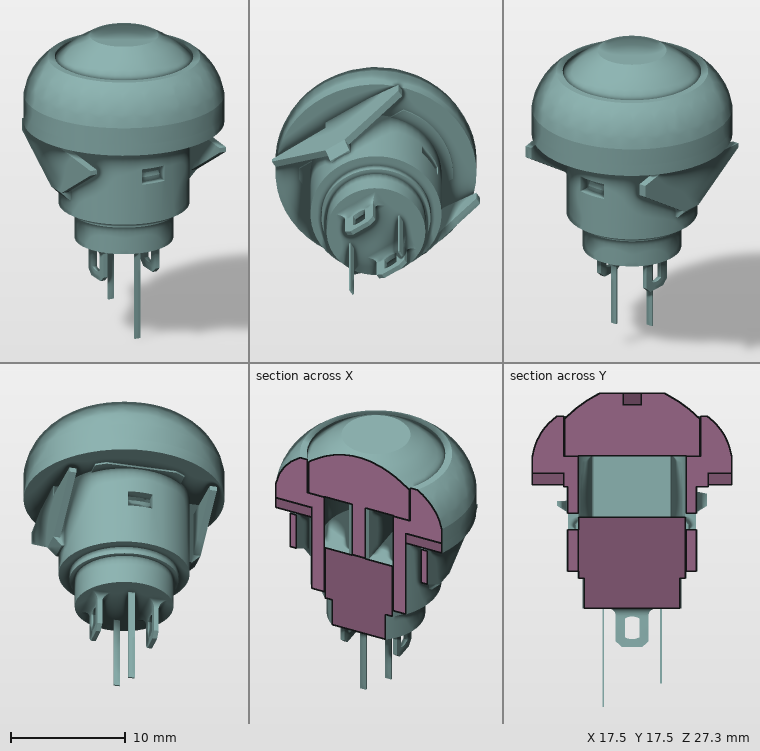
import cadquery as cq


BEZEL_RADIUS = 17.5 / 2
BEZEL_CREASE_Z = 2.55
BEZEL_MID_RADIUS = 8.05
BEZEL_MID_Z = 4.45
RIM_RADIUS = 6.64
RIM_Z = 6.0
CAVITY_RADIUS = 6.04
CAVITY_FLOOR_Z = BEZEL_CREASE_Z
TUBE_RADIUS = 5.7
TUBE_BOTTOM_Z = -7.5
BORE_RADIUS = 4.78
SHOULDER_RADIUS = 6.72
SHOULDER_DEPTH = 0.16
SHOULDER_HALF_WIDTH = 4.01
SHOULDER_FLAT_X = 5.95

GASKET_THICKNESS = 1.0

WINDOW_TOP_Z = -2.45
WINDOW_BOTTOM_Z = -3.88
NEAR_WINDOW_WIDTH = 2.6
FAR_WINDOW_WIDTH = 2.2

CLIP_OUTER_Y = 6.64
CLIP_PLATE_THICKNESS = 0.63
CLIP_HALF_SPAN = 6.53
CLIP_RIB_HALF_WIDTH = 0.98
CLIP_SLOPE_START_X = -3.45
CLIP_LEFT_TOP_Z = -0.75
CLIP_NOTCH_Z = -1.15
CLIP_RIGHT_TOP_Z = -1.4
CLIP_WING_BOTTOM_Z = -1.8
CLIP_PLATE_BOTTOM_Z = -5.25
CLIP_RIB_BOTTOM_Z = -6.0

BUTTON_RADIUS = 5.98
BUTTON_EDGE_Z = 5.8
BUTTON_MID_RADIUS = 4.53
BUTTON_MID_Z = 7.05
BUTTON_TOP_RADIUS = 3.0
BUTTON_TOP_Z = 8.0
STEM_RADIUS = 7.0 / 2
STEM_WIDTH = 1.9
LENS_RADIUS = 2.5 / 2
LENS_DEPTH = 1.0

PLUG_RADIUS = 9.5 / 2
PLUG_TOP_Z = -2.79
PLUG_BOTTOM_Z = -8.15
SOCKET_RADIUS = 8.6 / 2
BASE_BOTTOM_Z = -10.75
SNAP_RADIUS = 10.0 / 2
SNAP_WIDTH = 1.9
SNAP_TOP_Z = -3.15
SNAP_RAMP_END_Z = -3.47

LUG_OFFSET_Y = 2.55
LUG_WIDTH = 2.87
LUG_THICKNESS = 0.4
LUG_LENGTH = 3.33
LUG_CORNER_X = 0.55
LUG_CORNER_Z = 0.5
LUG_FLARE_RADIUS = 0.6
LUG_EYE_DEPTH = 1.67
LUG_EYE_HALF_WIDTH = 0.63
LUG_EYE_HALF_SIDE = 0.82
LUG_EYE_HALF_HEIGHT = 0.98

PIN_OFFSET_X = 2.5
PIN_THICKNESS = 0.16
PIN_WIDTH = 0.57
OVERALL_HEIGHT = 27.3
LONG_PIN_BOTTOM_Z = BUTTON_TOP_Z - OVERALL_HEIGHT
SHORT_PIN_BOTTOM_Z = -17.3


def cylinder(radius, bottom_z, top_z):
    return cq.Workplane("XY").workplane(offset=bottom_z).circle(radius).extrude(top_z - bottom_z)


def box(x_range, y_range, z_range):
    """Box between the low and high limits on each axis."""
    lows, highs = zip(x_range, y_range, z_range)
    sizes = [high - low for low, high in zip(lows, highs)]
    return cq.Workplane("XY").box(*sizes, centered=False).translate(lows)


def make_bezel():
    profile = (
        cq.Workplane("XZ")
        .moveTo(0, GASKET_THICKNESS)
        .lineTo(BEZEL_RADIUS, GASKET_THICKNESS)
        .lineTo(BEZEL_RADIUS, BEZEL_CREASE_Z)
        .threePointArc((BEZEL_MID_RADIUS, BEZEL_MID_Z), (RIM_RADIUS, RIM_Z))
        .lineTo(0, RIM_Z)
        .close()
    )
    return profile.revolve(360, (0, 0, 0), (0, 1, 0))


def make_shoulder():
    """Round panel shoulder with a keying flat on +X and its sides cut back for the clips."""
    disc = cylinder(SHOULDER_RADIUS, -SHOULDER_DEPTH, GASKET_THICKNESS)
    limits = box(
        (-SHOULDER_RADIUS, SHOULDER_FLAT_X),
        (-SHOULDER_HALF_WIDTH, SHOULDER_HALF_WIDTH),
        (-SHOULDER_DEPTH, GASKET_THICKNESS),
    )
    return disc.intersect(limits)


def make_clip():
    """Winged plate on a rib at -Y; the rib's outer bottom edge is cut off at a slope."""
    clip_top_z = -SHOULDER_DEPTH
    plate_inner_y = CLIP_OUTER_Y - CLIP_PLATE_THICKNESS
    rib_tip_y = CLIP_OUTER_Y - (CLIP_PLATE_BOTTOM_Z - CLIP_RIB_BOTTOM_Z)
    plate = (
        cq.Workplane("XZ", origin=(0, -plate_inner_y, 0))
        .polyline([
            (CLIP_SLOPE_START_X, clip_top_z),
            (CLIP_RIB_HALF_WIDTH, clip_top_z),
            (CLIP_RIB_HALF_WIDTH, CLIP_NOTCH_Z),
            (CLIP_HALF_SPAN, CLIP_RIGHT_TOP_Z),
            (CLIP_HALF_SPAN, CLIP_WING_BOTTOM_Z),
            (CLIP_RIB_HALF_WIDTH, CLIP_PLATE_BOTTOM_Z),
            (-CLIP_RIB_HALF_WIDTH, CLIP_PLATE_BOTTOM_Z),
            (-CLIP_HALF_SPAN, CLIP_WING_BOTTOM_Z),
            (-CLIP_HALF_SPAN, CLIP_LEFT_TOP_Z),
        ])
        .close()
        .extrude(CLIP_PLATE_THICKNESS)
    )
    rib = (
        cq.Workplane("YZ", origin=(-CLIP_RIB_HALF_WIDTH, 0, 0))
        .polyline([
            (-BORE_RADIUS, clip_top_z),
            (-CLIP_OUTER_Y, clip_top_z),
            (-CLIP_OUTER_Y, CLIP_PLATE_BOTTOM_Z),
            (-rib_tip_y, CLIP_RIB_BOTTOM_Z),
            (-BORE_RADIUS, CLIP_RIB_BOTTOM_Z),
        ])
        .close()
        .extrude(2 * CLIP_RIB_HALF_WIDTH)
    )
    return plate.union(rib)


def make_windows():
    """Cutters for the two openings; the one on -X is the wider."""
    heights = (WINDOW_BOTTOM_Z, WINDOW_TOP_Z)
    near = box((-TUBE_RADIUS, 0), (-NEAR_WINDOW_WIDTH / 2, NEAR_WINDOW_WIDTH / 2), heights)
    far = box((0, TUBE_RADIUS), (-FAR_WINDOW_WIDTH / 2, FAR_WINDOW_WIDTH / 2), heights)
    return near.union(far)


def make_housing():
    clip = make_clip()
    outside = (
        make_bezel()
        .union(make_shoulder())
        .union(cylinder(TUBE_RADIUS, TUBE_BOTTOM_Z, GASKET_THICKNESS))
        .union(clip)
        .union(clip.mirror("XZ"))
    )
    return (
        outside
        .cut(cylinder(CAVITY_RADIUS, CAVITY_FLOOR_Z, RIM_Z))
        .cut(cylinder(BORE_RADIUS, TUBE_BOTTOM_Z, CAVITY_FLOOR_Z))
        .cut(make_windows())
    )


def make_gasket(housing):
    """Ring that closely surrounds the housing below the bezel."""
    disc = cylinder(BEZEL_RADIUS, 0, GASKET_THICKNESS)
    return disc.cut(cylinder(TUBE_RADIUS, 0, GASKET_THICKNESS)).cut(housing)


def make_lens():
    return cylinder(LENS_RADIUS, BUTTON_TOP_Z - LENS_DEPTH, BUTTON_TOP_Z)


def make_stem():
    """Bar across X with round ends, from the cap down to the top of the base."""
    disc = cylinder(STEM_RADIUS, PLUG_TOP_Z, CAVITY_FLOOR_Z)
    limits = box(
        (-STEM_RADIUS, STEM_RADIUS),
        (-STEM_WIDTH / 2, STEM_WIDTH / 2),
        (PLUG_TOP_Z, CAVITY_FLOOR_Z),
    )
    return disc.intersect(limits)


def make_button(lens):
    """Domed cap resting on the cavity floor, with a stem below it and a recess for the lens."""
    cap = (
        cq.Workplane("XZ")
        .moveTo(0, CAVITY_FLOOR_Z)
        .lineTo(BUTTON_RADIUS, CAVITY_FLOOR_Z)
        .lineTo(BUTTON_RADIUS, BUTTON_EDGE_Z)
        .threePointArc((BUTTON_MID_RADIUS, BUTTON_MID_Z), (BUTTON_TOP_RADIUS, BUTTON_TOP_Z))
        .lineTo(0, BUTTON_TOP_Z)
        .close()
        .revolve(360, (0, 0, 0), (0, 1, 0))
    )
    return cap.union(make_stem()).cut(lens)


def make_snaps():
    """Ramped catches on -X and +X that fill the lower part of the windows."""
    ring = (
        cq.Workplane("XZ")
        .moveTo(0, WINDOW_BOTTOM_Z)
        .lineTo(SNAP_RADIUS, WINDOW_BOTTOM_Z)
        .lineTo(SNAP_RADIUS, SNAP_RAMP_END_Z)
        .lineTo(PLUG_RADIUS, SNAP_TOP_Z)
        .lineTo(0, SNAP_TOP_Z)
        .close()
        .revolve(360, (0, 0, 0), (0, 1, 0))
    )
    strip = box(
        (-SNAP_RADIUS, SNAP_RADIUS),
        (-SNAP_WIDTH / 2, SNAP_WIDTH / 2),
        (WINDOW_BOTTOM_Z, SNAP_TOP_Z),
    )
    return ring.intersect(strip)


def make_base():
    return (
        cylinder(PLUG_RADIUS, PLUG_BOTTOM_Z, PLUG_TOP_Z)
        .union(cylinder(SOCKET_RADIUS, BASE_BOTTOM_Z, PLUG_BOTTOM_Z))
        .union(make_snaps())
    )


def make_lug(y):
    """Flat lug with cut corners, an eye, and a concave flare where it meets the base."""
    half_width = LUG_WIDTH / 2
    half_thickness = LUG_THICKNESS / 2
    tip_half_width = half_width - LUG_CORNER_X
    bend = LUG_FLARE_RADIUS * (1 - 0.5 ** 0.5)

    def flared(plane, half_root, depth):
        """Prism, symmetric about the plane, whose sides flare out at the top by quarter arcs."""
        top = half_root + LUG_FLARE_RADIUS
        return (
            cq.Workplane(plane)
            .moveTo(-top, 0)
            .threePointArc((-half_root - bend, -bend), (-half_root, -LUG_FLARE_RADIUS))
            .lineTo(-half_root, -LUG_LENGTH)
            .lineTo(half_root, -LUG_LENGTH)
            .lineTo(half_root, -LUG_FLARE_RADIUS)
            .threePointArc((half_root + bend, -bend), (top, 0))
            .close()
            .extrude(depth, both=True)
        )

    lug = flared("XZ", half_width, LUG_WIDTH).intersect(flared("YZ", half_thickness, LUG_WIDTH))
    for side in (-1, 1):
        corner = (
            cq.Workplane("XZ")
            .polyline([
                (side * half_width, -LUG_LENGTH),
                (side * half_width, -LUG_LENGTH + LUG_CORNER_Z),
                (side * tip_half_width, -LUG_LENGTH),
            ])
            .close()
            .extrude(LUG_THICKNESS, both=True)
        )
        lug = lug.cut(corner)
    eye = (
        cq.Workplane("XZ", origin=(0, 0, -LUG_EYE_DEPTH))
        .moveTo(-LUG_EYE_HALF_WIDTH, -LUG_EYE_HALF_SIDE)
        .threePointArc((0, -LUG_EYE_HALF_HEIGHT), (LUG_EYE_HALF_WIDTH, -LUG_EYE_HALF_SIDE))
        .lineTo(LUG_EYE_HALF_WIDTH, LUG_EYE_HALF_SIDE)
        .threePointArc((0, LUG_EYE_HALF_HEIGHT), (-LUG_EYE_HALF_WIDTH, LUG_EYE_HALF_SIDE))
        .close()
        .extrude(LUG_THICKNESS, both=True)
    )
    return lug.cut(eye).translate((0, y, BASE_BOTTOM_Z))


def make_pin(x, bottom_z):
    return box(
        (x - PIN_THICKNESS / 2, x + PIN_THICKNESS / 2),
        (-PIN_WIDTH / 2, PIN_WIDTH / 2),
        (bottom_z, BASE_BOTTOM_Z),
    )


housing = make_housing()
gasket = make_gasket(housing)
lens = make_lens()
button = make_button(lens)
base = make_base()
lugs = [make_lug(y) for y in (-LUG_OFFSET_Y, LUG_OFFSET_Y)]
pin_places = [(-PIN_OFFSET_X, SHORT_PIN_BOTTOM_Z), (PIN_OFFSET_X, LONG_PIN_BOTTOM_Z)]
pins = [make_pin(x, bottom_z) for x, bottom_z in pin_places]

result = cq.Compound.makeCompound([
    housing.val(),
    gasket.val(),
    lens.val(),
    button.val(),
    base.val(),
    *[lug.val() for lug in lugs],
    *[pin.val() for pin in pins],
])